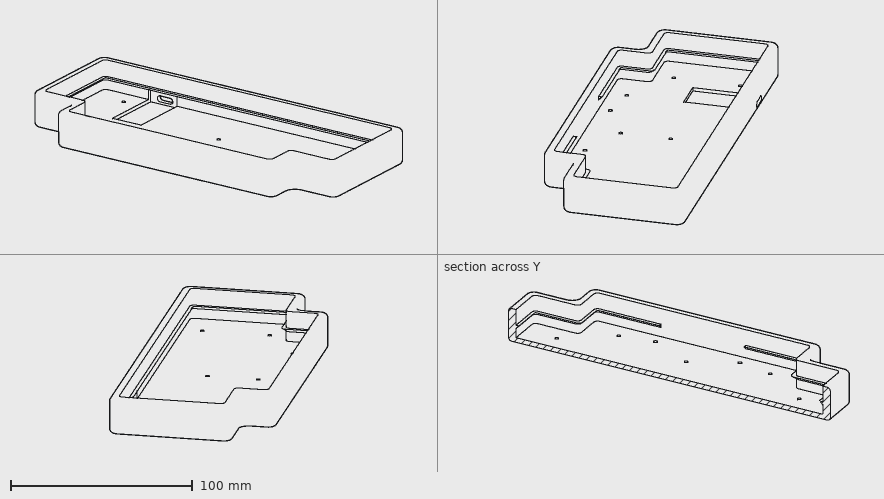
import cadquery as cq
import math

length = 202.5
depth = 88.3
height = 20.7
notch_length = 28.5
notch_depth = 18.8
corner_radius = 5.0
rim_radius = 2.5

wall = 5.0
cavity_radius = 2.5
floor_z = 3.2
lip_width = 2.0
lip_top_z = 11.0
lip_corner_radius = 0.5

lip_gap_length = 53.0

recess_left = -66.8
recess_length = 19.0
recess_front_distance = 40.5
recess_depth = 2.0
recess_wall_depth = 2.0

connector_length = 10.1
connector_height = 3.5
connector_z = 4.3

key_pitch = 19.0
first_hole_row = 15.8
mount_hole_diameter = 2.0
gap_hole_diameter = 2.2
gap_hole_row = 76.5

back_y = depth / 2
front_y = -depth / 2
cavity_back_y = back_y - wall


def tray_outline(inset, corner, notch_corner, z):
    """Closed tray outline at height z, moved inward by inset.

    notch_corner rounds the two inside corners of the notches, corner the six others.
    """
    half_length = length / 2 - inset
    half_front = half_length - notch_length
    back = back_y - inset
    front = front_y + inset
    shoulder = front + notch_depth
    diagonal = 1 - math.sqrt(0.5)
    right, left, up, down = (1, 0), (-1, 0), (0, 1), (0, -1)
    corners = [
        (half_length, back, right, down, corner),
        (half_length, shoulder, down, left, corner),
        (half_front, shoulder, left, down, notch_corner),
        (half_front, front, down, left, corner),
        (-half_front, front, left, up, corner),
        (-half_front, shoulder, up, left, notch_corner),
        (-half_length, shoulder, left, up, corner),
        (-half_length, back, up, right, corner),
    ]
    outline = cq.Workplane("XY", origin=(0, 0, z)).moveTo(-half_length + corner, back)
    for x, y, arrive, leave, radius in corners:
        arc_start = (x - radius * arrive[0], y - radius * arrive[1])
        arc_end = (x + radius * leave[0], y + radius * leave[1])
        inward = radius * diagonal
        arc_middle = (x + inward * (leave[0] - arrive[0]), y + inward * (leave[1] - arrive[1]))
        outline = outline.lineTo(*arc_start).threePointArc(arc_middle, arc_end)
    return outline.close()


def tray_prism(inset, corner, bottom_z, top_z):
    """Upright prism of the tray outline with all corners rounded alike."""
    return tray_outline(inset, corner, corner, bottom_z).extrude(top_z - bottom_z)


def box_between(x_min, x_max, y_min, y_max, z_min, z_max):
    """Axis-aligned box given by its limits."""
    box = cq.Workplane("XY").box(x_max - x_min, y_max - y_min, z_max - z_min, centered=False)
    return box.translate((x_min, y_min, z_min))


def floor_holes(points, diameter):
    """Pins that cut holes through the floor."""
    return cq.Workplane("XY").pushPoints(points).circle(diameter / 2).extrude(lip_top_z)


body = tray_prism(0, corner_radius, 0, height)
body = body.faces("<Z or >Z").edges().fillet(rim_radius)

lip_bottom_z = lip_top_z - lip_width
body = body.cut(tray_prism(wall, cavity_radius, floor_z, lip_bottom_z))
lip_opening = cq.Solid.makeLoft(
    [
        tray_outline(wall, cavity_radius, cavity_radius, lip_bottom_z).val(),
        tray_outline(wall + lip_width, lip_corner_radius, cavity_radius, lip_top_z).val(),
    ],
    True,
)
body = body.cut(cq.Workplane(lip_opening))
body = body.cut(tray_prism(wall, cavity_radius, lip_top_z, height))

cavity_front_y = front_y + wall
body = body.cut(
    box_between(
        -lip_gap_length / 2,
        lip_gap_length / 2,
        cavity_front_y,
        cavity_front_y + lip_width,
        lip_bottom_z,
        lip_top_z,
    )
)

recess_right = recess_left + recess_length
body = body.cut(
    box_between(
        recess_left,
        recess_right,
        back_y - recess_front_distance,
        cavity_back_y + recess_wall_depth,
        floor_z - recess_depth,
        lip_bottom_z,
    )
)

connector = (
    cq.Workplane("XZ", origin=((recess_left + recess_right) / 2, back_y, connector_z))
    .slot2D(connector_length, connector_height)
    .extrude(wall)
)
body = body.cut(connector)

mount_points = [(0, back_y - first_hole_row - rows * key_pitch) for rows in (1, 2.5)]
for side in (-1, 1):
    for columns, rows in [(4, 0), (4, 2), (2.5, 3)]:
        mount_points.append((side * columns * key_pitch, back_y - first_hole_row - rows * key_pitch))
body = body.cut(floor_holes(mount_points, mount_hole_diameter))

gap_points = [(side * lip_gap_length / 2, back_y - gap_hole_row) for side in (-1, 1)]
body = body.cut(floor_holes(gap_points, gap_hole_diameter))

result = body